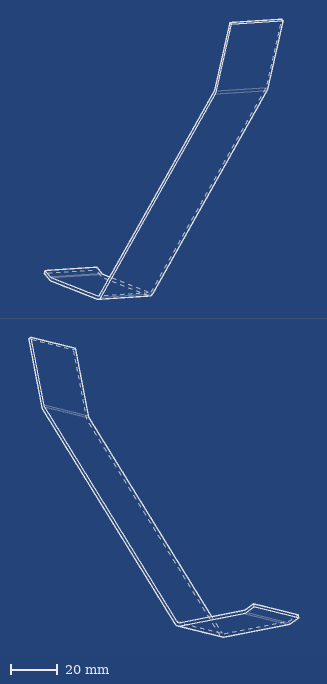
import cadquery as cq
import math

strip_width = 25.0
thickness = 1.5
bend_radius = 3.0
tilt = 12.25
strip_reach = 104.8
overall_height = 189.5
lip_length = 5.9
knee_x = 47.7
knee_height = 17.5
top_flat_length = 34.1

lean = math.radians(tilt)
strip_height = (overall_height - strip_width * math.sin(lean)) / math.cos(lean)

top_x = strip_reach - thickness
corners = [
    (0, thickness),
    (lip_length, thickness),
    (knee_x, knee_height),
    (top_x, strip_height - top_flat_length),
    (top_x, strip_height),
]


def direction(start, end):
    """Unit vector from one corner to the next."""
    length = math.dist(start, end)
    return (end[0] - start[0]) / length, (end[1] - start[1]) / length


def bend_points(before, corner, after):
    """Start, middle and end of the arc that rounds a left-turning corner."""
    ux, uz = direction(before, corner)
    vx, vz = direction(corner, after)
    turn = math.acos(ux * vx + uz * vz)
    setback = bend_radius * math.tan(turn / 2)
    start = (corner[0] - setback * ux, corner[1] - setback * uz)
    end = (corner[0] + setback * vx, corner[1] + setback * vz)
    bisector_x, bisector_z = direction((ux, uz), (vx, vz))
    corner_gap = bend_radius * (1 / math.cos(turn / 2) - 1)
    middle = (corner[0] + corner_gap * bisector_x, corner[1] + corner_gap * bisector_z)
    return start, middle, end


def concave_face_path():
    """Line of the concave face, with every bend rounded."""
    path = cq.Workplane("XZ").moveTo(*corners[0])
    for before, corner, after in zip(corners, corners[1:], corners[2:]):
        start, middle, end = bend_points(before, corner, after)
        path = path.lineTo(*start).threePointArc(middle, end)
    return path.lineTo(*corners[-1])


section = cq.Workplane("YZ").rect(strip_width, thickness, centered=(True, False))
strip = section.sweep(concave_face_path())

result = strip.rotate((0, 0, 0), (1, 0, 0), -tilt)